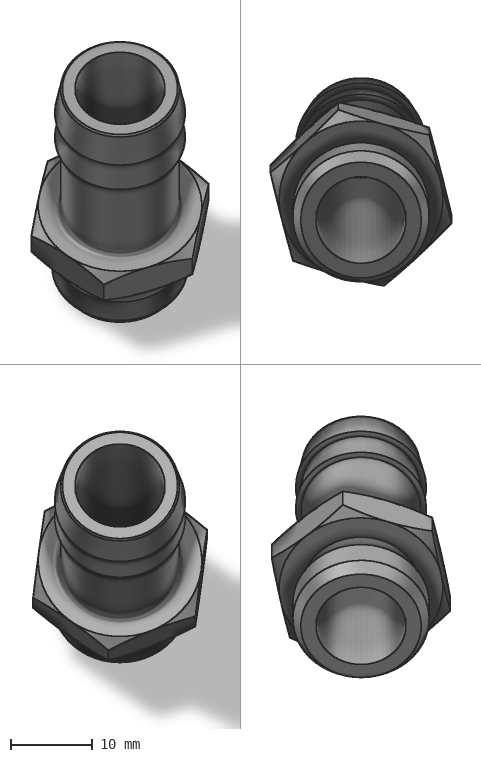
import cadquery as cq
import math

total_height = 38.0
across_flats = 20.0
bore_diameter = 11.0
tube_radius = 14.5 / 2

thread_radius = 16.65 / 2
end_chamfer_top = 1.67
end_chamfer_angle = 30.0
end_face_radius = thread_radius - end_chamfer_top * math.tan(math.radians(end_chamfer_angle))
thread_top = 5.45
undercut_bottom = thread_top + thread_radius - tube_radius

hex_bottom = 9.0
hex_height = 4.98
hex_top = hex_bottom + hex_height
hex_chamfer_angle = 30.0
root_fillet = 1.0
cone_clearance = 0.38

barb_count = 2
barb_section_height = 10.0
barb_height = barb_section_height / barb_count
barb_radius = 7.98
top_chamfer = 0.23


def make_hexagon():
    """Hexagon with corners on X, its corners coned off at both ends."""
    across_corners = across_flats / math.cos(math.pi / 6)
    prism = (
        cq.Workplane("XY")
        .workplane(offset=hex_bottom)
        .polygon(6, across_corners)
        .extrude(hex_height)
    )
    flat_radius = across_flats / 2
    cone_radius = across_corners / 2 + cone_clearance
    cone_drop = (cone_radius - flat_radius) * math.tan(math.radians(hex_chamfer_angle))
    envelope = (
        cq.Workplane("XZ")
        .moveTo(0, hex_bottom)
        .lineTo(flat_radius, hex_bottom)
        .lineTo(cone_radius, hex_bottom + cone_drop)
        .lineTo(cone_radius, hex_top - cone_drop)
        .lineTo(flat_radius, hex_top)
        .lineTo(0, hex_top)
        .close()
        .revolve(360, (0, 0, 0), (0, 1, 0))
    )
    return prism.intersect(envelope)


def make_turned_body():
    """Thread blank, undercut, tube and barbs as one turned profile."""
    profile = (
        cq.Workplane("XZ")
        .lineTo(end_face_radius, 0)
        .lineTo(thread_radius, end_chamfer_top)
        .lineTo(thread_radius, thread_top)
        .lineTo(tube_radius, undercut_bottom)
        .lineTo(tube_radius, hex_top - root_fillet)
        .lineTo(tube_radius + root_fillet, hex_top - root_fillet)
        .lineTo(tube_radius + root_fillet, hex_top)
        .radiusArc((tube_radius, hex_top + root_fillet), root_fillet)
        .lineTo(tube_radius, total_height - barb_section_height)
    )
    for barb in range(barb_count):
        barb_bottom = total_height - (barb_count - barb) * barb_height
        profile = profile.lineTo(barb_radius, barb_bottom)
        is_last = barb == barb_count - 1
        tip = total_height - top_chamfer if is_last else barb_bottom + barb_height
        profile = profile.lineTo(tube_radius, tip)
    profile = profile.lineTo(tube_radius - top_chamfer, total_height).lineTo(0, total_height)
    return profile.close().revolve(360, (0, 0, 0), (0, 1, 0))


bore = cq.Workplane("XY").circle(bore_diameter / 2).extrude(total_height)
result = make_turned_body().union(make_hexagon()).cut(bore)